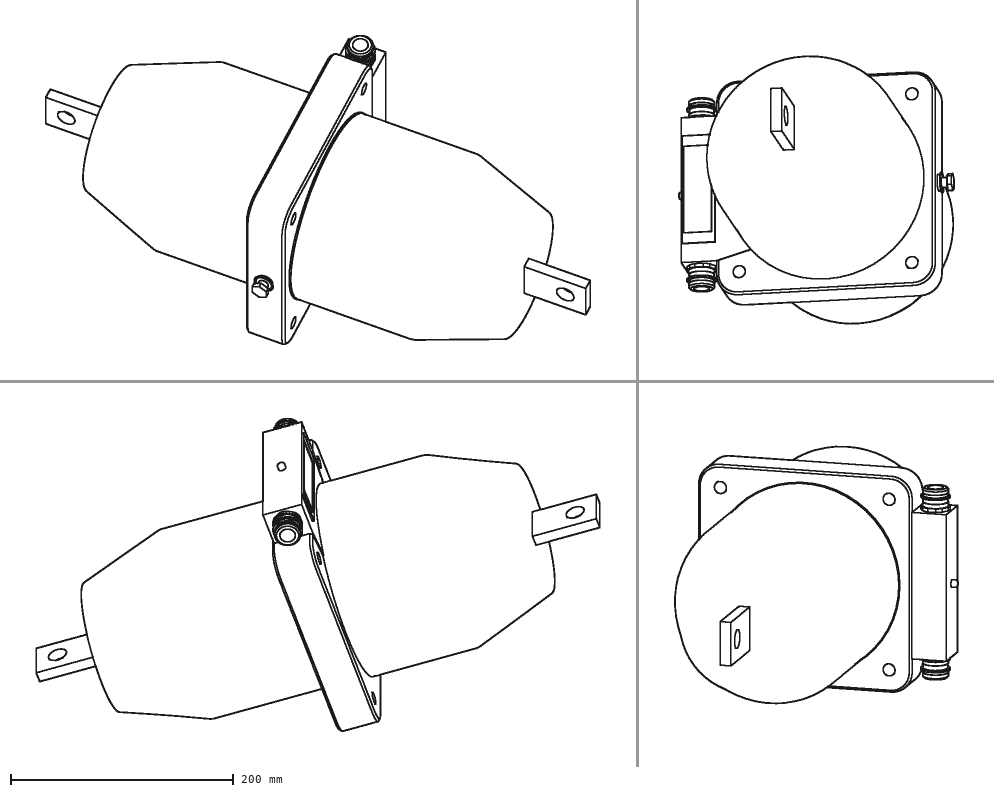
import cadquery as cq
import math

overall_length = 530.0
body_half_length = 204.5
end_radius = 60.5
end_round = 1.5
shoulder_round = 8.5

front_radius = 90.0
front_shoulder_x = -126.0
rear_radius = 88.5
rear_shoulder_x = 124.5

blade_height = 40.5
blade_thickness = 10.0
blade_hole_diameter = 17.0
blade_hole_from_tip = 20.0

flange_size = 200.0
flange_thickness = 37.5
flange_x = -8.2
flange_corner_radius = 19.5
flange_edge_chamfer = 2.0
mount_hole_offset = 79.0
mount_hole_diameter = 11.0
flange_half = flange_size / 2
flange_rear_x = flange_x + flange_thickness / 2

seat_ring_radius = 89.0
seat_ring_height = 1.5

box_x = -9.5
box_thickness = 36.5
box_outer_y = 132.0
box_half_height = 68.0
root_y = 53.0
root_half_height = 54.5
box_front_x = box_x - box_thickness / 2

cover_thickness = 1.5
cover_y_low = 100.5
cover_y_high = 131.0
cover_height = 100.5
label_depth = 0.5
label_y_low = 104.0
label_y_high = 129.5
label_height = 81.0
cover_front_x = box_front_x - cover_thickness

gland_y = 116.5
gland_bore_diameter = 14.0
gland_top_z = 88.0
gland_body_radius = 11.5
gland_neck_radius = 11.0
gland_neck_z_low = 74.5
gland_neck_z_high = 83.0
gland_nut_flats = 25.5
gland_nut_corners = 26.5
gland_nut_height = 3.0
gland_ring_z = 79.0
gland_ring_height = 1.5
gland_top_chamfer = 1.5

pin_diameter = 7.0
pin_tip_y = 137.5
pin_round = 2.0

bolt_seat_diameter = 15.5
bolt_seat_height = 2.5
washer_diameter = 18.5
washer_thickness = 0.5
bolt_shank_diameter = 9.0
bolt_head_corners = 16.0
bolt_head_height = 4.0
bolt_head_y = -113.0

overlap = 2.5


def box_between(x_range, y_range, z_range):
    """Axis-aligned box given by its limits."""
    size = [high - low for low, high in (x_range, y_range, z_range)]
    corner = (x_range[0], y_range[0], z_range[0])
    return cq.Workplane("XY").box(*size, centered=False).translate(corner)


def cylinder_y(x, diameter, y_start, y_end):
    """Cylinder along Y between two Y positions, at Z = 0."""
    plane = cq.Workplane("XZ", origin=(x, y_end, 0))
    return plane.circle(diameter / 2).extrude(y_end - y_start)


def half_body(radius, shoulder_x, end_x):
    """Cylinder with a tapered end, from the flange middle to end_x."""
    profile = [
        (flange_x, 0),
        (flange_x, radius),
        (shoulder_x, radius),
        (end_x, end_radius),
        (end_x, 0),
    ]
    body = cq.Workplane("XY").polyline(profile).close().revolve(360, (0, 0, 0), (1, 0, 0))
    reach = radius + overlap
    shoulder = cq.selectors.BoxSelector(
        (shoulder_x - overlap, -reach, -reach),
        (shoulder_x + overlap, reach, reach),
    )
    body = body.edges("%CIRCLE").edges(shoulder).fillet(shoulder_round)
    end_face = ">X" if end_x > 0 else "<X"
    return body.faces(end_face).edges().fillet(end_round)


def blades():
    """Flat bar through the whole body with a hole near each tip."""
    hole_x = overall_length / 2 - blade_hole_from_tip
    bar = cq.Workplane("XY").box(overall_length, blade_thickness, blade_height)
    holes = (
        cq.Workplane("XZ")
        .pushPoints([(-hole_x, 0), (hole_x, 0)])
        .circle(blade_hole_diameter / 2)
        .extrude(blade_thickness, both=True)
    )
    return bar.cut(holes)


def flange():
    plate = cq.Workplane("XY").box(flange_thickness, flange_size, flange_size)
    plate = plate.edges("|X").fillet(flange_corner_radius)
    plate = plate.faces("<X or >X").edges().chamfer(flange_edge_chamfer)
    return plate.translate((flange_x, 0, 0))


def seat_ring():
    plane = cq.Workplane("YZ", origin=(flange_rear_x, 0, 0))
    return plane.circle(seat_ring_radius).extrude(seat_ring_height)


def mount_holes():
    pitch = 2 * mount_hole_offset
    return (
        cq.Workplane("YZ", origin=(flange_x, 0, 0))
        .rarray(pitch, pitch, 2, 2)
        .circle(mount_hole_diameter / 2)
        .extrude(flange_thickness, both=True)
    )


def terminal_box():
    """Box with a tapered root running into the flange, plus its cover plate."""
    outline = [
        (root_y, -root_half_height),
        (flange_half, -box_half_height),
        (box_outer_y, -box_half_height),
        (box_outer_y, box_half_height),
        (flange_half, box_half_height),
        (root_y, root_half_height),
    ]
    plane = cq.Workplane("YZ", origin=(box_front_x, 0, 0))
    housing = plane.polyline(outline).close().extrude(box_thickness)
    cover = box_between(
        (cover_front_x, box_front_x + overlap),
        (cover_y_low, cover_y_high),
        (-cover_height / 2, cover_height / 2),
    )
    label = box_between(
        (cover_front_x, cover_front_x + label_depth),
        (label_y_low, label_y_high),
        (-label_height / 2, label_height / 2),
    )
    return housing.union(cover).cut(label)


def gland_nut(z, height):
    """Hexagon with two flats square to X and its corners turned down to a circle."""
    plane = cq.Workplane("XY", origin=(box_x, gland_y, z))
    disc = plane.circle(gland_nut_corners / 2).extrude(height)
    corner_distance = gland_nut_flats / math.cos(math.pi / 6)
    hexagon = plane.transformed(rotate=(0, 0, 90)).polygon(6, corner_distance).extrude(height)
    return hexagon.intersect(disc)


def gland():
    """Cable gland on the top of the box: round body, base nut and ring in a shallow neck."""
    plane = cq.Workplane("XY", origin=(box_x, gland_y, box_half_height))
    body = plane.circle(gland_body_radius).extrude(gland_top_z - box_half_height)
    body = body.faces(">Z").edges().chamfer(gland_top_chamfer)
    neck_plane = cq.Workplane("XY", origin=(box_x, gland_y, gland_neck_z_low))
    groove = neck_plane.circle(gland_nut_corners / 2).circle(gland_neck_radius)
    body = body.cut(groove.extrude(gland_neck_z_high - gland_neck_z_low))
    base = gland_nut(box_half_height, gland_nut_height)
    ring = gland_nut(gland_ring_z, gland_ring_height)
    return body.union(base).union(ring)


def gland_bore():
    """Bore through both glands and the box between them."""
    plane = cq.Workplane("XY", origin=(box_x, gland_y, 0))
    return plane.circle(gland_bore_diameter / 2).extrude(gland_top_z, both=True)


def pin():
    stem = cylinder_y(box_x, pin_diameter, box_outer_y - overlap, pin_tip_y)
    return stem.faces(">Y").edges().fillet(pin_round)


def earthing_bolt():
    """Seat, washer, shank and hexagon head, stacked toward -Y."""
    seat_y = -flange_half - bolt_seat_height
    washer_y = seat_y - washer_thickness
    head_base_y = bolt_head_y + bolt_head_height
    seat = cylinder_y(flange_x, bolt_seat_diameter, seat_y, -flange_half + overlap)
    washer = cylinder_y(flange_x, washer_diameter, washer_y, seat_y)
    shank = cylinder_y(flange_x, bolt_shank_diameter, head_base_y, washer_y)
    head = (
        cq.Workplane("XZ", origin=(flange_x, head_base_y, 0))
        .transformed(rotate=(0, 0, 90))
        .polygon(6, bolt_head_corners)
        .extrude(bolt_head_height)
    )
    return seat.union(washer).union(shank).union(head)


top_gland = gland()
bottom_gland = top_gland.mirror("XY")

result = (
    flange()
    .union(terminal_box())
    .cut(mount_holes())
    .union(half_body(front_radius, front_shoulder_x, -body_half_length))
    .union(half_body(rear_radius, rear_shoulder_x, body_half_length))
    .union(seat_ring())
    .union(blades())
    .union(top_gland)
    .union(bottom_gland)
    .cut(gland_bore())
    .union(pin())
    .union(earthing_bolt())
)